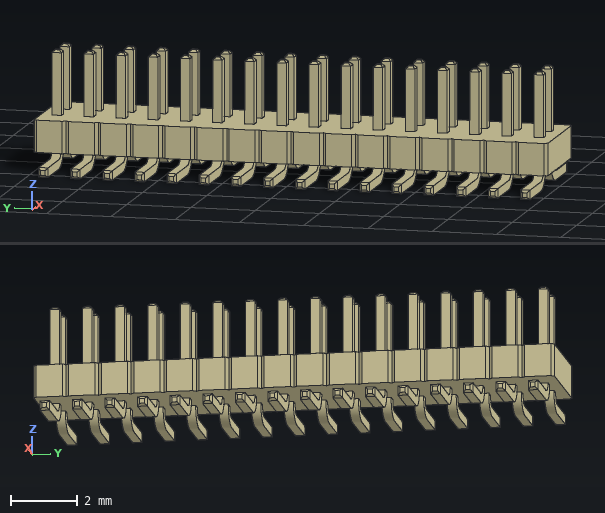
import cadquery as cq
import math

positions = 16
length = 16.0
pitch = length / positions
total_width = 4.8
total_height = 3.6

body_width = 3.14
body_top = 1.6
body_height = pitch
body_bottom = body_top - body_height
corner_chamfer = 0.1

pin_gap = 0.7
pin_size = pitch - pin_gap
bend_outer_radius = body_bottom
bend_inner_radius = bend_outer_radius - pin_size
end_chamfer = 0.075


def make_body():
    """Row of blocks with chamfered corners, leaving V-notches between positions."""
    blocks = (
        cq.Workplane("XY", origin=(0, 0, body_bottom))
        .rarray(0.16, pitch, 1, positions)
        .rect(body_width, pitch)
        .extrude(body_height, combine=False)
        .edges("|Z")
        .chamfer(corner_chamfer)
    )
    return blocks.combine()


def make_pin():
    """Right-hand pin centred on Y = 0: upright post, quarter bend and foot toward +X."""
    inner_face = pin_gap / 2
    outer_face = inner_face + pin_size
    bend_x = inner_face + bend_outer_radius
    bend_z = bend_outer_radius
    diagonal = math.sqrt(0.5)
    foot_end = total_width / 2

    pin = (
        cq.Workplane("XZ")
        .moveTo(inner_face, total_height)
        .lineTo(inner_face, bend_z)
        .threePointArc(
            (bend_x - bend_outer_radius * diagonal, bend_z - bend_outer_radius * diagonal),
            (bend_x, 0),
        )
        .lineTo(foot_end, 0)
        .lineTo(foot_end, pin_size)
        .lineTo(bend_x, pin_size)
        .threePointArc(
            (bend_x - bend_inner_radius * diagonal, bend_z - bend_inner_radius * diagonal),
            (outer_face, bend_z),
        )
        .lineTo(outer_face, total_height)
        .close()
        .extrude(pin_size / 2, both=True)
    )
    return pin.faces(">Z").chamfer(end_chamfer).faces(">X").chamfer(end_chamfer)


right_pin = make_pin()
left_pin = right_pin.mirror("YZ")

result = make_body()
for index in range(positions):
    y = (index - (positions - 1) / 2) * pitch
    for pin in (left_pin, right_pin):
        result = result.union(pin.translate((0, y, 0)))